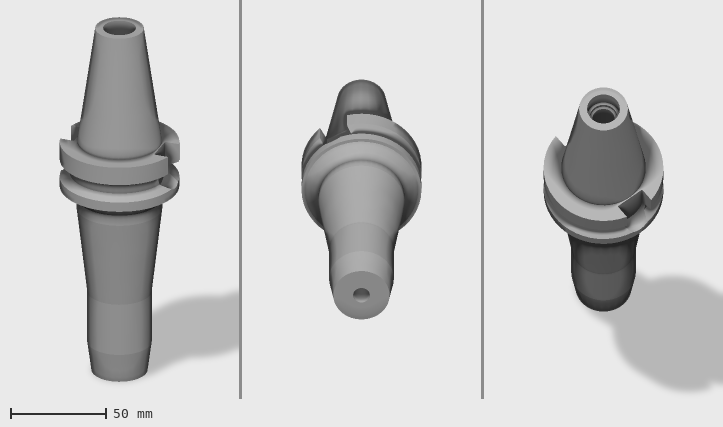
import cadquery as cq

total_length = 200.0

taper_top_radius = 12.8
taper_gauge_radius = 22.2
taper_length = 65.5
collar_height = 1.0

flange_diameter = 63.0
flange_radius = flange_diameter / 2
groove_radius = 26.5
upper_rim_drop = 10.2
groove_floor_top_drop = 13.0
groove_floor_bottom_drop = 17.6
lower_rim_top_drop = 20.5
lower_rim_bottom_drop = 25.8
flange_cone_drop = 32.5
flange_cone_radius = 29.8

neck_radius = 22.6
neck_bottom_drop = 38.5
shank_radius = 17.0
shank_top = 46.2
shank_bottom = 16.8
nose_radius = 14.8

mouth_radius = 8.6
mouth_depth = 9.0
recess_radius = 7.2
recess_depth = 11.0
clearance_radius = 5.8
clearance_depth = 40.0
bore_radius = 4.5

slot_width = 16.2
slot_floor_x = 22.6
slot_depth = 21.8

flange_top = total_length - taper_length - collar_height


def make_body():
    """Revolve the outer profile about Z."""
    profile = [
        (0, 0),
        (nose_radius, 0),
        (shank_radius, shank_bottom),
        (shank_radius, shank_top),
        (neck_radius, flange_top - neck_bottom_drop),
        (neck_radius, flange_top - flange_cone_drop),
        (flange_cone_radius, flange_top - lower_rim_bottom_drop),
        (flange_radius, flange_top - lower_rim_bottom_drop),
        (flange_radius, flange_top - lower_rim_top_drop),
        (groove_radius, flange_top - groove_floor_bottom_drop),
        (groove_radius, flange_top - groove_floor_top_drop),
        (flange_radius, flange_top - upper_rim_drop),
        (flange_radius, flange_top),
        (taper_gauge_radius, flange_top),
        (taper_gauge_radius, flange_top + collar_height),
        (taper_top_radius, total_length),
        (0, total_length),
    ]
    return cq.Workplane("XZ").polyline(profile).close().revolve(360, (0, 0, 0), (0, 1, 0))


def make_bore():
    """Through bore with three wider steps at the taper end."""
    bore = cq.Workplane("XY").circle(bore_radius).extrude(total_length)
    steps = (
        (mouth_radius, mouth_depth),
        (recess_radius, recess_depth),
        (clearance_radius, clearance_depth),
    )
    for radius, depth in steps:
        step = cq.Workplane("XY", origin=(0, 0, total_length - depth)).circle(radius).extrude(depth)
        bore = bore.union(step)
    return bore


def make_drive_slot(side):
    """Round-bottomed slot open at the flange top; side is -1 or +1 along X."""
    half_width = slot_width / 2
    arc_center_z = flange_top - slot_depth + half_width
    return (
        cq.Workplane("YZ", origin=(side * slot_floor_x, 0, 0))
        .moveTo(-half_width, flange_top)
        .lineTo(-half_width, arc_center_z)
        .threePointArc((0, flange_top - slot_depth), (half_width, arc_center_z))
        .lineTo(half_width, flange_top)
        .close()
        .extrude(side * flange_radius)
    )


result = make_body().cut(make_bore())
for side in (-1, 1):
    result = result.cut(make_drive_slot(side))